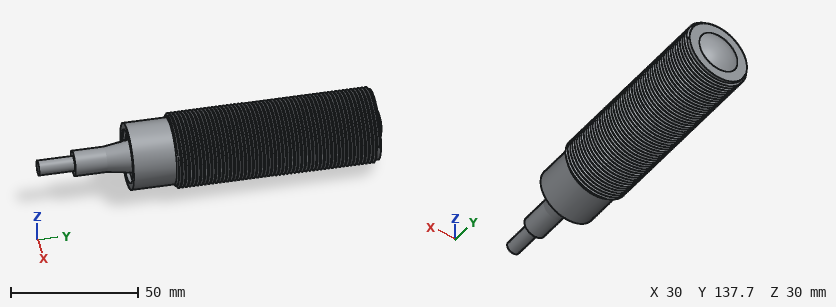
import cadquery as cq

cable_end = 14.2
boot_end = 26.9
housing_rear = 35.8
bore_floor = 44.8
collar_start = 53.0
thread_start = 53.7
housing_front = 135.0
overall_length = 137.7

cable_radius = 3.0
boot_radius = 5.1
cone_base_radius = 7.7
core_radius = 9.4
inner_crest_radius = 9.5
bore_radius = 10.7
plain_radius = 13.4
thread_root_radius = 14.0
thread_crest_radius = 15.0

thread_turns = 53.5
thread_length = 80.4
pitch = thread_length / thread_turns
ridge_base_width = pitch * 0.98
ridge_embed = 0.1
inner_thread_turns = 4.5
inner_thread_start = housing_rear + 1.2

collar_chamfer = thread_root_radius - plain_radius


def along_y(shape):
    """Turn a body built around the Z axis so that its axis lies along +Y."""
    return shape.rotate((0, 0, 0), (1, 0, 0), -90)


def helical_ridge(root_radius, crest_radius, turns, start):
    """Right-handed V ridge starting on the -X side, with its root sunk slightly into the wall that carries it."""
    outward = 1 if crest_radius > root_radius else -1
    sunk_root = root_radius - outward * ridge_embed
    path = cq.Wire.makeHelix(pitch, turns * pitch, root_radius)
    profile = cq.Workplane("XZ").polyline([
        (sunk_root, -ridge_base_width / 2),
        (crest_radius, 0),
        (sunk_root, ridge_base_width / 2),
    ]).close()
    ridge = profile.sweep(cq.Workplane(obj=path), isFrenet=True)
    return ridge.rotate((0, 0, 0), (0, 0, 1), 180).translate((0, 0, start))


def make_housing():
    """Threaded tube with a plain rear skirt and an internally threaded rear recess."""
    tube = (
        cq.Workplane("XZ")
        .moveTo(core_radius, housing_front)
        .lineTo(thread_root_radius, housing_front)
        .lineTo(thread_root_radius, collar_start + collar_chamfer)
        .lineTo(plain_radius, collar_start)
        .lineTo(plain_radius, housing_rear)
        .lineTo(bore_radius, housing_rear)
        .lineTo(bore_radius, bore_floor)
        .lineTo(core_radius, bore_floor)
        .close()
        .revolve(360, (0, 0, 0), (0, 1, 0))
    )
    outer_ridge = helical_ridge(thread_root_radius, thread_crest_radius, thread_turns, thread_start)
    inner_ridge = helical_ridge(bore_radius, inner_crest_radius, inner_thread_turns, inner_thread_start)
    return along_y(tube.union(outer_ridge).union(inner_ridge))


def make_core():
    """Sensor core with a domed front, and the cable boot and cable at its rear."""
    dome_height = overall_length - housing_front
    dome_radius = (core_radius**2 + dome_height**2) / (2 * dome_height)
    mid_radius = core_radius / 2
    mid_drop = dome_radius - (dome_radius**2 - mid_radius**2) ** 0.5
    profile = (
        cq.Workplane("XZ")
        .lineTo(cable_radius, 0)
        .lineTo(cable_radius, cable_end)
        .lineTo(boot_radius, cable_end)
        .lineTo(boot_radius, boot_end)
        .lineTo(cone_base_radius, bore_floor)
        .lineTo(core_radius, bore_floor)
        .lineTo(core_radius, housing_front)
        .threePointArc((mid_radius, overall_length - mid_drop), (0, overall_length))
        .close()
    )
    return along_y(profile.revolve(360, (0, 0, 0), (0, 1, 0)))


housing = make_housing()
core = make_core()

result = cq.Compound.makeCompound([housing.val(), core.val()])